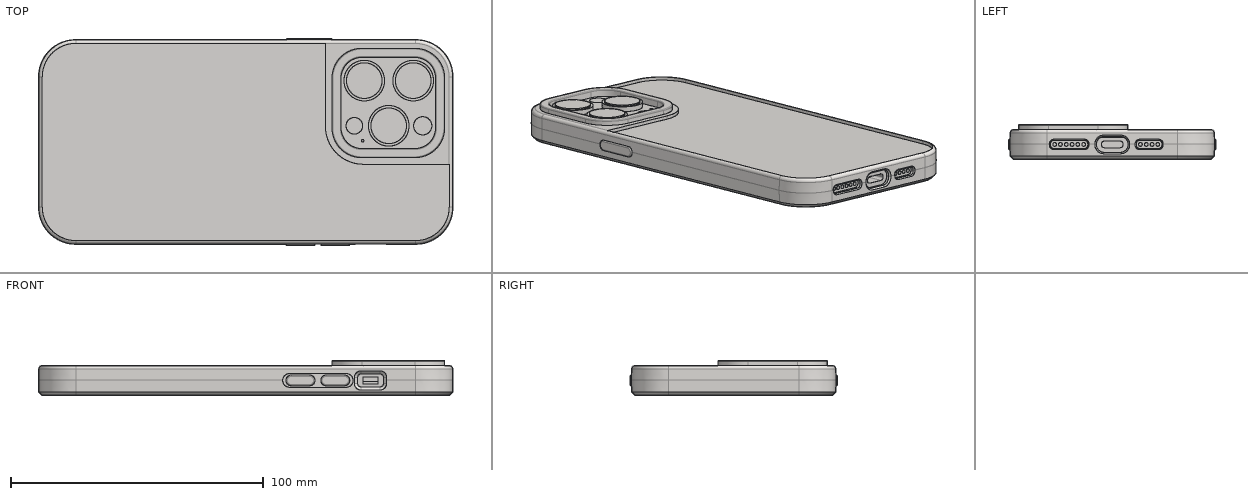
import cadquery as cq
CASE_LENGTH = 164.1
CASE_WIDTH = 81.0
CASE_CORNER = 14.8
CASE_HEIGHT = 11.8
TOTAL_HEIGHT = 13.8
PARTING_HEIGHT = 6.0
SIDE_DRAFT = 1.0
RIM_RADIUS = 1.5
LOWER_CHAMFER = 1.3

WALL = 1.8
PHONE_BOTTOM = 1.8
PHONE_HEIGHT = 7.9
PHONE_EDGE = 1.0
LIP_OVERHANG = 1.5

PANEL_DEPTH = 1.3
PLATEAU_X = 31.5
PLATEAU_Y = -8.9
PLATEAU_CORNER = 15.1

CAMERA_X = 56.5
CAMERA_Y = 15.5
FRAME_LENGTH = 44.6
FRAME_WIDTH = 43.3
FRAME_CORNER = 11.8
FRAME_WALL = 3.6
FRAME_EDGE = 0.3
CAMERA_FLOOR = 11.0

LENS_RADIUS = 8.0
LENS_HEIGHT = 2.0
GLASS_RADIUS = 7.0
GLASS_HEIGHT = 0.5
LENS_CENTERS = [(47.0, 24.3), (66.3, 24.3), (56.6, 6.4)]

DISC_Y = 6.4
SENSOR_X = 43.0
SENSOR_RADIUS = 3.3
FLASH_X = 70.0
FLASH_RADIUS = 3.6
DISC_THICKNESS = 0.8
MIC_X = 46.3
MIC_Y = 0.5
MIC_RADIUS = 0.5

PORT_HEIGHT = 5.9
BUTTON_WIDTH = 4.3
BUTTON_PROUD = 0.5
BUTTON_EDGE = 0.5
VOLUME_LENGTH = 11.5
VOLUME_CENTERS = [21.7, 35.5]
POWER_LENGTH = 18.0
POWER_CENTER = 25.1
PAD_LENGTH = 27.9
PAD_WIDTH = 5.4
PAD_CENTER = 28.5
PAD_DEPTH = 0.2

MUTE_CENTER = 49.4
MUTE_LENGTH = 10.2
MUTE_WIDTH = 5.1
MUTE_CORNER = 1.3
MUTE_FLARE = 1.3
SWITCH_LENGTH = 5.9
SWITCH_WIDTH = 2.8
SWITCH_LEVER_WIDTH = 1.8
SWITCH_DEPTH = 0.7
SWITCH_LEVER_PROUD = 0.3

PLUG_LENGTH = 12.5
PLUG_WIDTH = 6.2
PLUG_CORNER = 3.0
PLUG_FLARE = 0.7
SOCKET_LENGTH = 8.5
SOCKET_WIDTH = 2.6
SOCKET_CORNER = 1.1
SOCKET_DEPTH = 6.5

SPEAKER_WIDTH = 3.3
SPEAKER_CORNER = 1.5
SPEAKER_FLARE = 0.5
SPEAKER_PITCH = 2.3
SPEAKER_HOLE = 1.5
SPEAKER_DEPTH = 1.6
SPEAKERS = [(17.0, 6), (-14.6, 4)]

PHONE_TOP = PHONE_BOTTOM + PHONE_HEIGHT
PHONE_LENGTH = CASE_LENGTH - 2 * WALL
PHONE_WIDTH = CASE_WIDTH - 2 * WALL
PHONE_CORNER = CASE_CORNER - WALL
SIDE_Y = -CASE_WIDTH / 2
END_X = -CASE_LENGTH / 2
OPENING_LENGTH = FRAME_LENGTH - 2 * FRAME_WALL
OPENING_WIDTH = FRAME_WIDTH - 2 * FRAME_WALL
OPENING_CORNER = FRAME_CORNER - FRAME_WALL


def rounded_block(length, width, corner, bottom, top, center=(0, 0)):
    """Upright block with rounded corners."""
    return (
        cq.Workplane("XY", origin=(*center, bottom))
        .rect(length, width)
        .extrude(top - bottom)
        .edges("|Z")
        .fillet(corner)
    )


def disc(x, y, radius, bottom, height):
    return cq.Workplane("XY", origin=(x, y, bottom)).circle(radius).extrude(height)


def side_plane(x, depth=0):
    """Plane facing -Y, sunk below the -Y side by depth; local x runs along X."""
    return cq.Workplane("XZ", origin=(x, SIDE_Y + depth, PORT_HEIGHT))


def end_plane(y, depth=0):
    """Plane facing -X, sunk below the -X end by depth; local x runs along -Y."""
    return cq.Workplane(cq.Plane((END_X + depth, y, PORT_HEIGHT), xDir=(0, -1, 0), normal=(-1, 0, 0)))


def flared_opening(mouth, length, width, corner, flare):
    """Cutter through the case wall with a 45 degree flare up to the mouth plane."""
    throat = cq.Sketch().rect(length, width).vertices().fillet(corner)
    rim = cq.Sketch().rect(length + 2 * flare, width + 2 * flare).vertices().fillet(corner + flare)
    return mouth.placeSketch(throat).extrude(-WALL).union(mouth.placeSketch(rim).extrude(-flare, taper=45))


def case_shell():
    """Outer body, widest at the parting height, with a rounded upper and a chamfered lower edge."""
    outline = cq.Sketch().rect(CASE_LENGTH, CASE_WIDTH).vertices().fillet(CASE_CORNER)
    parting = cq.Workplane("XY", origin=(0, 0, PARTING_HEIGHT)).placeSketch(outline)
    upper = parting.extrude(CASE_HEIGHT - PARTING_HEIGHT, taper=SIDE_DRAFT)
    lower = parting.extrude(-PARTING_HEIGHT, taper=SIDE_DRAFT)
    upper = upper.faces(">Z").edges().fillet(RIM_RADIUS)
    lower = lower.faces("<Z").edges().chamfer(LOWER_CHAMFER)
    return upper.union(lower)


def panel_recess():
    """Sunk back surface: everything inside the rim except the camera plateau."""
    inset = 2 * RIM_RADIUS
    floor = CASE_HEIGHT - PANEL_DEPTH
    corner = CASE_CORNER - RIM_RADIUS
    sunk = rounded_block(CASE_LENGTH - inset, CASE_WIDTH - inset, corner, floor, TOTAL_HEIGHT)
    plateau = (
        cq.Workplane("XY", origin=(PLATEAU_X, PLATEAU_Y, 0))
        .rect(CASE_LENGTH, CASE_WIDTH, centered=False)
        .extrude(TOTAL_HEIGHT)
        .edges("|Z and <X and <Y")
        .fillet(PLATEAU_CORNER)
    )
    return sunk.cut(plateau)


def camera_opening():
    center = (CAMERA_X, CAMERA_Y)
    return rounded_block(OPENING_LENGTH, OPENING_WIDTH, OPENING_CORNER, PHONE_TOP, TOTAL_HEIGHT, center)


def camera_frame():
    """Raised rim around the camera opening, rounded on both upper edges."""
    center = (CAMERA_X, CAMERA_Y)
    block = rounded_block(FRAME_LENGTH, FRAME_WIDTH, FRAME_CORNER, PHONE_TOP, TOTAL_HEIGHT, center)
    return block.cut(camera_opening()).faces(">Z").edges().fillet(FRAME_EDGE)


def screen_opening():
    inset = 2 * LIP_OVERHANG
    corner = PHONE_CORNER - LIP_OVERHANG
    return rounded_block(PHONE_LENGTH - inset, PHONE_WIDTH - inset, corner, 0, PHONE_BOTTOM)


def button(x, length):
    """Rounded button standing proud of the -Y side."""
    root = WALL / 2
    key = side_plane(x, root).slot2D(length, BUTTON_WIDTH).extrude(root + BUTTON_PROUD)
    return key.faces("<Y").edges().fillet(BUTTON_EDGE)


def make_case():
    case = case_shell().cut(panel_recess()).union(camera_frame()).cut(camera_opening())
    case = case.cut(phone_block()).cut(screen_opening())

    case = case.cut(side_plane(PAD_CENTER).slot2D(PAD_LENGTH, PAD_WIDTH).extrude(-PAD_DEPTH))
    for x in VOLUME_CENTERS:
        case = case.union(button(x, VOLUME_LENGTH))
    case = case.union(button(POWER_CENTER, POWER_LENGTH).mirror("XZ"))

    case = case.cut(flared_opening(side_plane(MUTE_CENTER), MUTE_LENGTH, MUTE_WIDTH, MUTE_CORNER, MUTE_FLARE))
    case = case.cut(flared_opening(end_plane(0), PLUG_LENGTH, PLUG_WIDTH, PLUG_CORNER, PLUG_FLARE))
    for y, hole_count in SPEAKERS:
        length = (hole_count - 1) * SPEAKER_PITCH + SPEAKER_WIDTH
        case = case.cut(flared_opening(end_plane(y), length, SPEAKER_WIDTH, SPEAKER_CORNER, SPEAKER_FLARE))
    return case


def phone_block():
    block = rounded_block(PHONE_LENGTH, PHONE_WIDTH, PHONE_CORNER, PHONE_BOTTOM, PHONE_TOP)
    return block.faces("<Z or >Z").edges().fillet(PHONE_EDGE)


def camera_bump():
    """Block that fills the camera opening up to the floor the lenses stand on."""
    center = (CAMERA_X, CAMERA_Y)
    return rounded_block(OPENING_LENGTH, OPENING_WIDTH, OPENING_CORNER, PHONE_TOP, CAMERA_FLOOR, center)


def lens(x, y):
    barrel = disc(x, y, LENS_RADIUS, CAMERA_FLOOR, LENS_HEIGHT)
    return barrel.union(disc(x, y, GLASS_RADIUS, CAMERA_FLOOR + LENS_HEIGHT, GLASS_HEIGHT))


def mute_switch():
    """Cutter for the switch recess, leaving the lever standing in its upper part."""
    recess = side_plane(MUTE_CENTER, WALL).rect(SWITCH_LENGTH, SWITCH_WIDTH).extrude(-SWITCH_DEPTH)
    lever = (
        side_plane(MUTE_CENTER, WALL + SWITCH_DEPTH)
        .center(0, (SWITCH_WIDTH - SWITCH_LEVER_WIDTH) / 2)
        .rect(SWITCH_LENGTH, SWITCH_LEVER_WIDTH)
        .extrude(SWITCH_LEVER_PROUD)
    )
    return recess.cut(lever)


def make_phone():
    phone = phone_block().union(camera_bump())
    for x, y in LENS_CENTERS:
        phone = phone.union(lens(x, y))
    phone = phone.cut(camera_disc(SENSOR_X, SENSOR_RADIUS)).cut(camera_disc(FLASH_X, FLASH_RADIUS))
    phone = phone.cut(disc(MIC_X, MIC_Y, MIC_RADIUS, CAMERA_FLOOR - DISC_THICKNESS, DISC_THICKNESS))

    phone = phone.cut(mute_switch())
    socket = cq.Sketch().rect(SOCKET_LENGTH, SOCKET_WIDTH).vertices().fillet(SOCKET_CORNER)
    phone = phone.cut(end_plane(0, WALL).placeSketch(socket).extrude(-SOCKET_DEPTH))
    for y, hole_count in SPEAKERS:
        holes = end_plane(y, WALL).rarray(SPEAKER_PITCH, 1.6, hole_count, 1).circle(SPEAKER_HOLE / 2)
        phone = phone.cut(holes.extrude(-SPEAKER_DEPTH))
    return phone


def camera_disc(x, radius):
    """Disc let into the camera floor, flush with it."""
    return disc(x, DISC_Y, radius, CAMERA_FLOOR - DISC_THICKNESS, DISC_THICKNESS)


case = make_case()
phone = make_phone()
depth_sensor = camera_disc(SENSOR_X, SENSOR_RADIUS)
flash = camera_disc(FLASH_X, FLASH_RADIUS)

result = cq.Compound.makeCompound([case.val(), phone.val(), depth_sensor.val(), flash.val()])